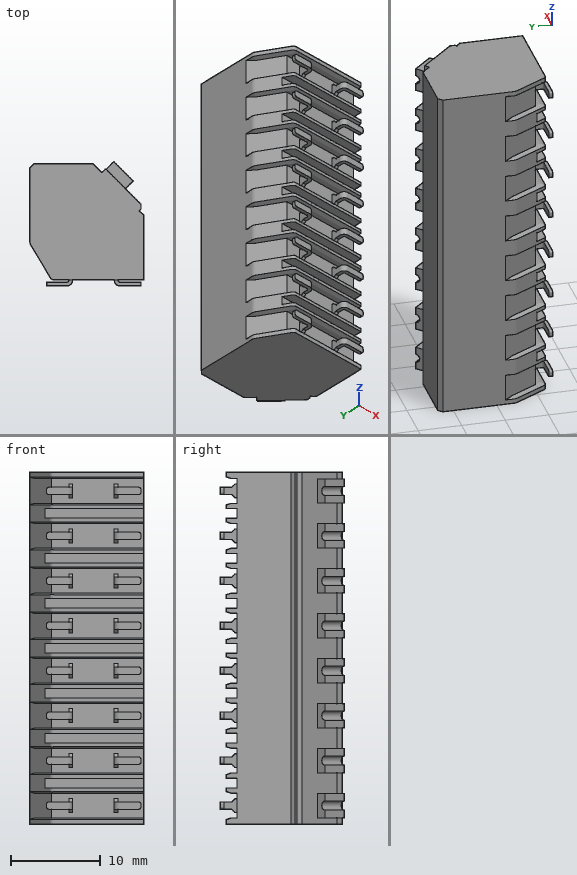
import cadquery as cq
import math

length = 39.2
width = 12.7
depth = 12.95
pole_count = 8
pole_pitch = 5.0

slant_x = 2.45
slant_y = 4.08
slant_side_radius = 0.98
slant_front_radius = 0.5
slant_length = math.hypot(slant_x, slant_y)

back_chamfer = 0.47
step_start_x = 7.05
step_drop = 0.98
button_face_sum = 20.8
nose_x = 12.4
nose_height = 0.55
notch_size = 0.2
right_side_top = 7.25

recess_depth = 1.2
slant_recess_top = 5.25
recess_height = 2.75
rim_height = 3.1
bevel_depth = 0.55

slot_height = 1.05

button_length = 3.05
button_projection = 1.2
button_height = 2.7
button_start_x = 8.5
button_groove_radius = 0.5

lead_front = -0.65
lead_thickness = 0.45
lead_width = 0.82
lead_bend_radius = 0.2
lead_tip_radius = 0.27
left_tip_x = 1.9
left_riser_x = 4.8
right_riser_x = 9.4
right_tip_x = 12.4
root_width = 1.55
root_flare_start = 0.63

overlap = 0.4


def pole_centers():
    middle = (pole_count - 1) / 2
    return [length / 2 + (i - middle) * pole_pitch for i in range(pole_count)]


def make_housing():
    step_x = step_start_x + step_drop
    step_y = depth - step_drop
    face_start_x = (button_face_sum + step_x - step_y) / 2
    nose_top = button_face_sum - nose_x
    notch_y = nose_top - nose_height - notch_size
    outline = [
        (slant_x, 0),
        (width, 0),
        (width, right_side_top),
        (nose_x - notch_size, notch_y),
        (nose_x, nose_top - nose_height),
        (nose_x, nose_top),
        (face_start_x, button_face_sum - face_start_x),
        (step_x, step_y),
        (step_start_x, depth),
        (back_chamfer, depth),
        (0, depth - back_chamfer),
        (0, slant_y),
    ]
    body = cq.Workplane("XY").polyline(outline).close().extrude(length)
    side_corner = cq.selectors.NearestToPointSelector((0, slant_y, length / 2))
    front_corner = cq.selectors.NearestToPointSelector((slant_x, 0, length / 2))
    body = body.edges(side_corner).fillet(slant_side_radius)
    return body.edges(front_corner).fillet(slant_front_radius)


def recess_prism(height):
    """Space in front of the recess floor, centred on Z = 0."""
    floor_x = (slant_recess_top - recess_depth) * slant_x / slant_y
    far_x = width + overlap
    region = [
        (0, slant_recess_top),
        (floor_x, recess_depth),
        (far_x, recess_depth),
        (far_x, -overlap),
        (-overlap, -overlap),
        (-overlap, slant_recess_top),
    ]
    return cq.Workplane("XY").polyline(region).close().extrude(height / 2, both=True)


def bevel_bar(inward, run):
    """Trapezoidal bar through the slanted corner; it tapers along the inward normal."""
    corner = (slant_x, 0, 0) if inward[0] == 0 else (0, slant_y, 0)
    plane = cq.Plane(origin=corner, xDir=inward, normal=run)
    half_inner = recess_height / 2
    half_rim = rim_height / 2
    profile = [
        (-overlap, -half_rim),
        (0, -half_rim),
        (bevel_depth, -half_inner),
        (bevel_depth, half_inner),
        (0, half_rim),
        (-overlap, half_rim),
    ]
    return cq.Workplane(plane).polyline(profile).close().extrude(width + overlap, both=True)


def make_recess_cutter():
    slant_inward = (slant_y / slant_length, slant_x / slant_length, 0)
    slant_run = (slant_x / slant_length, -slant_y / slant_length, 0)
    bevels = bevel_bar((0, 1, 0), (1, 0, 0))
    bevels = bevels.union(bevel_bar((1, 0, 0), (0, 1, 0)))
    bevels = bevels.union(bevel_bar(slant_inward, slant_run))
    bevels = bevels.intersect(recess_prism(rim_height))
    return recess_prism(recess_height).union(bevels)


def make_slot_cutter():
    slot_length = width + 2 * overlap
    slot_depth = recess_depth + overlap
    slot = cq.Workplane("XY").box(slot_length, slot_depth, slot_height, centered=(False, False, True))
    return slot.translate((-overlap, -overlap, 0))


def make_button():
    """Block on the 45 degree face with a half-round driver groove along its top."""
    plane = cq.Plane(
        origin=(button_start_x, button_face_sum - button_start_x, 0),
        xDir=(0, 0, -1),
        normal=(1, -1, 0),
    )
    block = (
        cq.Workplane(plane)
        .center(0, (button_projection - overlap) / 2)
        .rect(button_height, button_projection + overlap)
        .extrude(button_length)
    )
    groove = (
        cq.Workplane(plane)
        .center(0, button_projection)
        .circle(button_groove_radius)
        .extrude(button_length)
    )
    return block.cut(groove)


def make_lead(tip_x, riser_x):
    """L-shaped lead; riser_x is the riser face turned away from the tip."""
    side = math.copysign(1, tip_x - riser_x)
    inner_x = riser_x + side * lead_thickness
    foot_back = lead_front + lead_thickness
    root_y = recess_depth + overlap
    outline = [
        (riser_x, root_y),
        (riser_x, lead_front),
        (tip_x, lead_front),
        (tip_x, foot_back),
        (inner_x, foot_back),
        (inner_x, root_y),
    ]
    lead = cq.Workplane("XY").polyline(outline).close().extrude(lead_width / 2, both=True)
    outer_bend = cq.selectors.NearestToPointSelector((riser_x, lead_front, 0))
    inner_bend = cq.selectors.NearestToPointSelector((inner_x, foot_back, 0))
    lead = lead.edges(outer_bend).fillet(lead_thickness + lead_bend_radius)
    lead = lead.edges(inner_bend).fillet(lead_bend_radius)
    tip_face = ">X" if side > 0 else "<X"
    lead = lead.faces(tip_face).edges("|Y").fillet(lead_tip_radius)

    flare = (root_width - lead_width) / 2
    root_outline = [
        (root_flare_start, -lead_width / 2),
        (root_flare_start + flare, -root_width / 2),
        (root_y, -root_width / 2),
        (root_y, root_width / 2),
        (root_flare_start + flare, root_width / 2),
        (root_flare_start, lead_width / 2),
    ]
    root = cq.Workplane("YZ").polyline(root_outline).close().extrude(lead_thickness)
    return lead.union(root.translate((min(riser_x, inner_x), 0, 0)))


housing = make_housing()
recess_cutter = make_recess_cutter()
slot_cutter = make_slot_cutter()
pole_parts = [
    make_button(),
    make_lead(left_tip_x, left_riser_x),
    make_lead(right_tip_x, right_riser_x),
]

for z in pole_centers():
    housing = housing.cut(recess_cutter.translate((0, 0, z)))

for z in pole_centers()[:-1]:
    housing = housing.cut(slot_cutter.translate((0, 0, z + pole_pitch / 2)))

for z in pole_centers():
    for part in pole_parts:
        housing = housing.union(part.translate((0, 0, z)))

result = housing